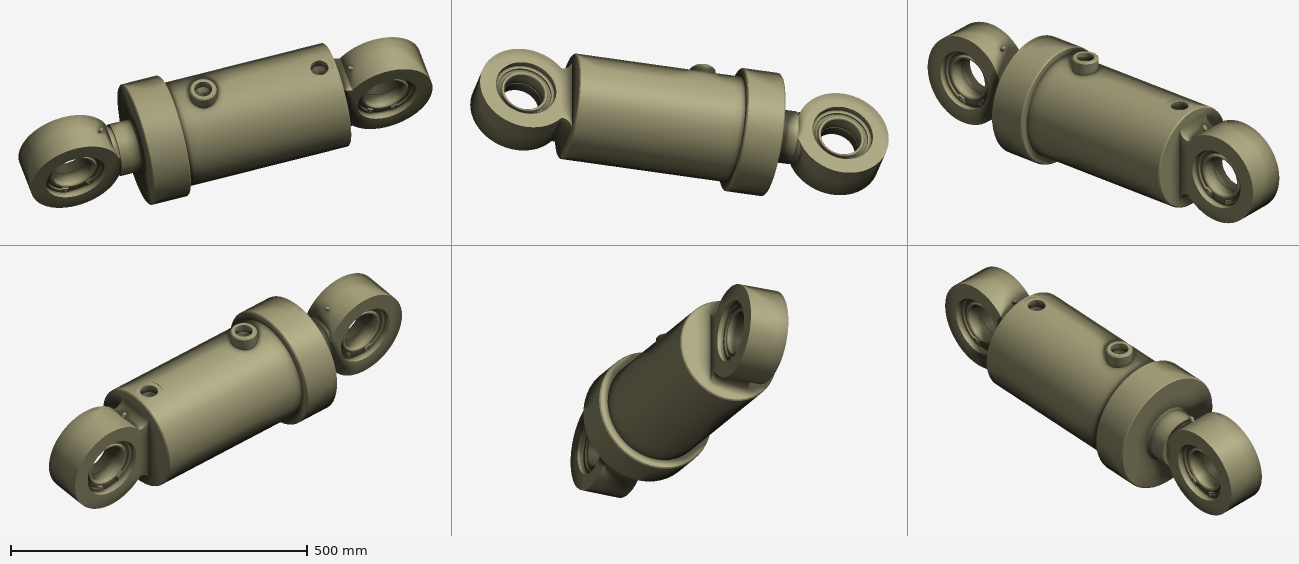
import cadquery as cq
import math


PIN_DISTANCE = 550.0
BARREL_START = 80.0
BARREL_LENGTH = 288.0
GLAND_LENGTH = 66.0
ROD_EYE_ROLL = -1.3
GLAND_START = BARREL_START + BARREL_LENGTH
GLAND_END = GLAND_START + GLAND_LENGTH

TOWARD_ROD = -1
TOWARD_BARREL = 1

BARREL_DIAMETER = 180.0
BARREL_RADIUS = BARREL_DIAMETER / 2
GLAND_DIAMETER = 210.0
EDGE_CHAMFER = 2.0
WIPER_BASE_DIAMETER = 98.0
WIPER_TIP_DIAMETER = 91.0
WIPER_HEIGHT = 3.0

PORT_DIAMETER = 30.3
PORT_DEPTH = 15.0
PORT_TIP_ANGLE = 118.0
PORT_FACE_DIAMETER = 45.0
BOSS_TOP = 112.0
BOSS_CHAMFER = 2.0
SPOTFACE_HEIGHT = 88.6
REAR_PORT_Y = -(BARREL_START + 29.0)
FRONT_PORT_Y = -(BARREL_START + 234.5)

EYE_DIAMETER = 160.0
EYE_RADIUS = EYE_DIAMETER / 2
EYE_WIDTH = 70.0
EYE_BORE = 105.0
GROOVE_DIAMETER = 109.0

FOOT_FLARE_RADIUS = 18.5
FOOT_FLARE_START = BARREL_START - FOOT_FLARE_RADIUS
FOOT_HALF_HEIGHT = math.sqrt(EYE_RADIUS**2 - FOOT_FLARE_START**2)

ROD_DIAMETER = 90.0
ROD_FACE_OFFSET = 79.0
NECK_DIAMETER = 81.0
NECK_SEAT_OFFSET = 70.0

BEARING_BORE = 70.0
OUTER_RING_WIDTH = 40.0
INNER_RING_WIDTH = 49.0
BALL_DIAMETER = 92.0
INNER_RING_CHAMFER = 1.5
BORE_GROOVE_WIDTH = 6.0
BORE_GROOVE_DEPTH = 1.0

CIRCLIP_THICKNESS = 4.0
CIRCLIP_INNER_DIAMETER = 94.0
CIRCLIP_GAP = 32.0
CIRCLIP_TURN = 8.0
LUG_WIDTH = 10.0
LUG_INNER_RADIUS = 43.5
LUG_HOLE_DIAMETER = 3.5

NIPPLE_TILT = 40.0
NIPPLE_STEM_DIAMETER = 5.71
NIPPLE_HEAD_DIAMETER = 6.95
NIPPLE_TIP_DIAMETER = 3.5
NIPPLE_ROOT = EYE_RADIUS - 3
NIPPLE_HEAD_START = 83.0
NIPPLE_HEAD_END = 87.0
NIPPLE_TIP = 89.5


def y_cylinder(diameter, y_from, y_to):
    """Cylinder on the cylinder axis, running toward -Y."""
    return cq.Workplane("XZ", origin=(0, y_from, 0)).circle(diameter / 2).extrude(y_from - y_to)


def x_disc(diameter, x_from, x_to):
    """Disc on the eye axis X."""
    return cq.Workplane("YZ", origin=(x_from, 0, 0)).circle(diameter / 2).extrude(x_to - x_from)


def port_drilling(y, top):
    """Blind port hole with a conical drill tip, entering from the given height."""
    radius = PORT_DIAMETER / 2
    floor = top - PORT_DEPTH
    tip = floor - radius / math.tan(math.radians(PORT_TIP_ANGLE / 2))
    profile = [(0, top), (radius, top), (radius, floor), (0, tip)]
    return cq.Workplane("XZ").polyline(profile).close().revolve(360, (0, 0), (0, 1)).translate((0, y, 0))


def port_face(y, z_from, z_to):
    """Round block the size of a port sealing face."""
    return cq.Workplane("XY", origin=(0, y, z_from)).circle(PORT_FACE_DIAMETER / 2).extrude(z_to - z_from)


def weld_foot():
    """Foot that flares from the eye outline to the barrel, above and below the axis."""
    flare_height = FOOT_HALF_HEIGHT + FOOT_FLARE_RADIUS
    mid = FOOT_FLARE_RADIUS * math.sqrt(0.5)
    mid_y = -(FOOT_FLARE_START + mid)
    mid_z = flare_height - mid
    return (
        cq.Workplane("YZ", origin=(-EYE_WIDTH / 2, 0, 0))
        .moveTo(-FOOT_FLARE_START, FOOT_HALF_HEIGHT)
        .threePointArc((mid_y, mid_z), (-BARREL_START, flare_height))
        .lineTo(-BARREL_START, -flare_height)
        .threePointArc((mid_y, -mid_z), (-FOOT_FLARE_START, -FOOT_HALF_HEIGHT))
        .close()
        .extrude(EYE_WIDTH)
    )


def make_barrel():
    barrel = y_cylinder(BARREL_DIAMETER, -BARREL_START, -GLAND_START)
    barrel = barrel.faces(">Y").edges().chamfer(EDGE_CHAMFER)
    boss = port_face(FRONT_PORT_Y, 0, BOSS_TOP).faces(">Z").edges().chamfer(BOSS_CHAMFER)
    barrel = barrel.union(boss)
    barrel = barrel.cut(port_face(REAR_PORT_Y, SPOTFACE_HEIGHT, BARREL_RADIUS))
    barrel = barrel.cut(port_drilling(REAR_PORT_Y, SPOTFACE_HEIGHT))
    barrel = barrel.cut(port_drilling(FRONT_PORT_Y, BOSS_TOP))
    barrel = barrel.union(weld_foot())
    return barrel.cut(x_disc(EYE_DIAMETER, -EYE_WIDTH / 2, EYE_WIDTH / 2))


def make_gland():
    """Gland ring with a conical wiper lip around the rod."""
    gland = y_cylinder(GLAND_DIAMETER, -GLAND_START, -GLAND_END).edges().chamfer(EDGE_CHAMFER)
    lip = cq.Workplane("XZ", origin=(0, -GLAND_END, 0)).circle(WIPER_BASE_DIAMETER / 2)
    lip = lip.workplane(offset=WIPER_HEIGHT).circle(WIPER_TIP_DIAMETER / 2).loft()
    return gland.union(lip).cut(y_cylinder(ROD_DIAMETER, -GLAND_START, -GLAND_END - WIPER_HEIGHT))


def rod_neck():
    """Reduced rod end that flares at its seat, flush with the sides of the eye."""
    seat = NECK_SEAT_OFFSET - PIN_DISTANCE
    rod_face = ROD_FACE_OFFSET - PIN_DISTANCE
    rod_radius = ROD_DIAMETER / 2
    neck_radius = NECK_DIAMETER / 2
    flare_rise = rod_radius - neck_radius
    flare_length = rod_face - seat
    flare_radius = (flare_length**2 + flare_rise**2) / (2 * flare_rise)
    neck = (
        cq.Workplane("XY")
        .moveTo(0, seat)
        .lineTo(rod_radius, seat)
        .radiusArc((neck_radius, rod_face), -flare_radius)
        .lineTo(0, rod_face)
        .close()
        .revolve(360, (0, 0), (0, 1))
    )
    slab = cq.Workplane("XY").box(EYE_WIDTH, PIN_DISTANCE * 2, ROD_DIAMETER * 2)
    return neck.intersect(slab)


def make_rod():
    rod = y_cylinder(ROD_DIAMETER, -GLAND_START, ROD_FACE_OFFSET - PIN_DISTANCE)
    return rod.union(rod_neck())


def make_nipple(facing):
    """Grease nipple standing on the eye, leaning toward the cylinder."""
    profile = [
        (0, NIPPLE_ROOT),
        (NIPPLE_STEM_DIAMETER / 2, NIPPLE_ROOT),
        (NIPPLE_STEM_DIAMETER / 2, NIPPLE_HEAD_START),
        (NIPPLE_HEAD_DIAMETER / 2, NIPPLE_HEAD_START),
        (NIPPLE_HEAD_DIAMETER / 2, NIPPLE_HEAD_END),
        (NIPPLE_TIP_DIAMETER / 2, NIPPLE_TIP),
        (0, NIPPLE_TIP),
    ]
    nipple = cq.Workplane("XZ").polyline(profile).close().revolve(360, (0, 0), (0, 1))
    return nipple.rotate((0, 0, 0), (1, 0, 0), -facing * NIPPLE_TILT)


def make_eye(facing):
    """Eye on the origin with a circlip groove at each end of the bearing seat."""
    eye = x_disc(EYE_DIAMETER, -EYE_WIDTH / 2, EYE_WIDTH / 2)
    eye = eye.union(make_nipple(facing))
    eye = eye.cut(x_disc(EYE_BORE, -EYE_WIDTH / 2, EYE_WIDTH / 2))
    groove_start = OUTER_RING_WIDTH / 2
    groove_end = groove_start + CIRCLIP_THICKNESS
    eye = eye.cut(x_disc(GROOVE_DIAMETER, groove_start, groove_end))
    return eye.cut(x_disc(GROOVE_DIAMETER, -groove_end, -groove_start))


def make_circlip(x_from, facing):
    """Open ring with two drilled lugs beside the gap, which is turned toward the cylinder."""
    x_to = x_from + CIRCLIP_THICKNESS
    ring = x_disc(GROOVE_DIAMETER, x_from, x_to).cut(x_disc(CIRCLIP_INNER_DIAMETER, x_from, x_to))
    lug_span = CIRCLIP_GAP + 2 * LUG_WIDTH
    lug_drop = GROOVE_DIAMETER / 2
    plane = cq.Workplane("YZ", origin=(x_from, 0, 0))
    lugs = plane.center(0, -lug_drop / 2).rect(lug_span, lug_drop).extrude(CIRCLIP_THICKNESS)
    lugs = lugs.intersect(x_disc(GROOVE_DIAMETER, x_from, x_to))
    lugs = lugs.cut(x_disc(2 * LUG_INNER_RADIUS, x_from, x_to))
    gap = plane.center(0, -lug_drop / 2).rect(CIRCLIP_GAP, lug_drop).extrude(CIRCLIP_THICKNESS)
    hole_y = (CIRCLIP_GAP + LUG_WIDTH) / 2
    hole_z = -math.sqrt(((LUG_INNER_RADIUS + EYE_BORE / 2) / 2) ** 2 - hole_y**2)
    holes = plane.pushPoints([(-hole_y, hole_z), (hole_y, hole_z)]).circle(LUG_HOLE_DIAMETER / 2)
    circlip = ring.union(lugs).cut(gap).cut(holes.extrude(CIRCLIP_THICKNESS))
    return circlip.rotate((0, 0, 0), (1, 0, 0), facing * CIRCLIP_TURN)


def make_bearing(facing):
    """Spherical plain bearing on the origin, with the circlip that holds it at each side."""
    half_outer = OUTER_RING_WIDTH / 2
    half_inner = INNER_RING_WIDTH / 2
    ball_radius = BALL_DIAMETER / 2
    bore_radius = BEARING_BORE / 2
    rim_x = half_inner - INNER_RING_CHAMFER
    rim_radius = bore_radius + INNER_RING_CHAMFER

    def ball_height(x):
        return math.sqrt(ball_radius**2 - x**2)

    mid_x = (half_outer + half_inner) / 2
    bearing = (
        cq.Workplane("XY")
        .moveTo(-rim_x, bore_radius)
        .lineTo(rim_x, bore_radius)
        .lineTo(half_inner, rim_radius)
        .lineTo(half_inner, ball_height(half_inner))
        .threePointArc((mid_x, ball_height(mid_x)), (half_outer, ball_height(half_outer)))
        .lineTo(half_outer, EYE_BORE / 2)
        .lineTo(-half_outer, EYE_BORE / 2)
        .lineTo(-half_outer, ball_height(half_outer))
        .threePointArc((-mid_x, ball_height(mid_x)), (-half_inner, ball_height(half_inner)))
        .lineTo(-half_inner, rim_radius)
        .close()
        .revolve(360, (0, 0), (1, 0))
    )
    groove_diameter = BEARING_BORE + 2 * BORE_GROOVE_DEPTH
    bearing = bearing.cut(x_disc(groove_diameter, -BORE_GROOVE_WIDTH / 2, BORE_GROOVE_WIDTH / 2))
    bearing = bearing.union(make_circlip(half_outer, facing))
    return bearing.union(make_circlip(-half_outer - CIRCLIP_THICKNESS, facing))


def at_rod_end(body):
    """Move a body from the barrel eye to the rod eye."""
    return body.translate((0, -PIN_DISTANCE, 0))


def roll(body):
    """Roll a rod-end body about the cylinder axis."""
    return body.rotate((0, 0, 0), (0, 1, 0), ROD_EYE_ROLL)


barrel = make_barrel()
gland = make_gland()
straight_rod = make_rod()
rod = roll(straight_rod)
barrel_eye = make_eye(TOWARD_ROD)
rod_eye = roll(at_rod_end(make_eye(TOWARD_BARREL)).cut(straight_rod))
barrel_bearing = make_bearing(TOWARD_ROD)
rod_bearing = roll(at_rod_end(make_bearing(TOWARD_BARREL)))

result = cq.Compound.makeCompound([
    barrel.val(),
    gland.val(),
    rod.val(),
    barrel_eye.val(),
    rod_eye.val(),
    barrel_bearing.val(),
    rod_bearing.val(),
])